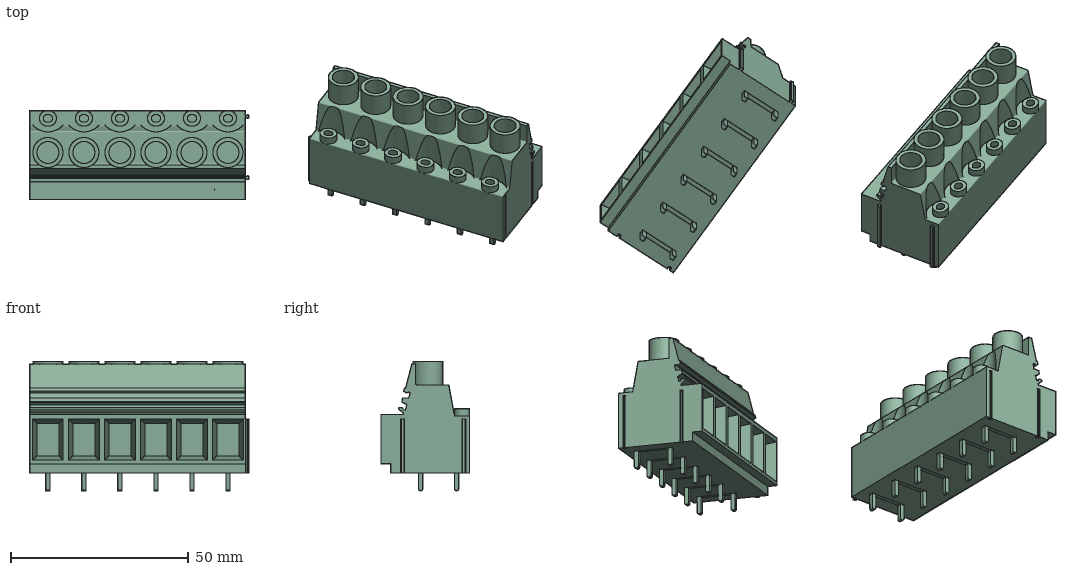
import cadquery as cq


pole_count = 6
pole_span = 50.75
pole_pitch = pole_span / (pole_count - 1)

housing_length = 60.85
housing_depth = 25.1
first_pole_x = 5.1
pole_centers_x = [first_pole_x + i * pole_pitch for i in range(pole_count)]

front_step_depth = 2.8
front_step_height = 2.6
front_block_top = 16.55
wall_top = 30.7
wall_front_y = 8.7
wall_rear_y = 9.8
shelf_z = 24.9
shelf_rear_y = 19.2
ledge_z = 16.1
ledge_front_y = 20.8
edge_radius = 0.4
ledge_corner_radius = 0.2

hook_root_y = 6.3
hook_floor_z = 17.85
hook_top_z = 18.5
middle_tooth_top_z = 21.2

entry_width = 8.65
entry_height = 11.6
entry_bottom = 3.65
entry_depth = 6.7
entry_inset = 1.25

tube_center_y = 13.3
tube_diameter = 8.45
tube_bore = 6.2
tube_top = 31.5

socket_length = 4.8
socket_width = 4.3
socket_wall = 1.1
socket_top = 18.15
socket_center_y = housing_depth - socket_width / 2

recess_radius = 5.7
recess_center_y = 24.75

rib_positions_y = [6.2, 23.4]
rib_height = 15.25
rib_reach = 0.9
rib_neck_half_width = 0.4
rib_head_half_width = 0.55
rib_neck_reach = 0.45
rib_head_start = 0.55
rib_head_end = 0.75

contact_thickness = 1.25
front_leg_y = 11.25
rear_leg_y = front_leg_y + pole_pitch
leg_length = 5.0


def housing_profile():
    """Cross-section of the housing in the YZ plane, with the ribbed marking-strip holder in front."""
    return (
        cq.Workplane("YZ")
        .moveTo(front_step_depth, 0)
        .lineTo(front_step_depth, front_step_height)
        .lineTo(0, front_step_height)
        .lineTo(0, front_block_top)
        .lineTo(hook_root_y, front_block_top)
        .lineTo(hook_root_y, 16.9)
        .lineTo(5.2, 17.9)
        .threePointArc((5.0, 18.3), (5.3, hook_top_z))
        .lineTo(5.9, hook_top_z)
        .lineTo(hook_root_y, 18.3)
        .lineTo(hook_root_y, hook_floor_z)
        .lineTo(6.9, hook_floor_z)
        .lineTo(7.3, 19.3)
        .lineTo(6.05, 19.95)
        .lineTo(5.9, 20.25)
        .lineTo(6.1, middle_tooth_top_z)
        .lineTo(7.85, middle_tooth_top_z)
        .lineTo(8.15, 22.35)
        .threePointArc((8.0, 22.8), (7.6, 22.7))
        .lineTo(7.2, 22.55)
        .lineTo(6.35, 23.1)
        .lineTo(6.7, 23.95)
        .lineTo(7.0, 24.0)
        .lineTo(wall_front_y, wall_top)
        .lineTo(wall_rear_y, wall_top)
        .lineTo(wall_rear_y, shelf_z)
        .lineTo(shelf_rear_y, shelf_z)
        .lineTo(ledge_front_y, ledge_z)
        .lineTo(housing_depth, ledge_z)
        .lineTo(housing_depth, 0)
        .close()
    )


def lengthwise_edge(y, z):
    """Selector for the edge that runs along the housing at the given Y and Z."""
    reach = edge_radius / 2
    return cq.selectors.BoxSelector(
        (0, y - reach, z - reach),
        (housing_length, y + reach, z + reach),
    )


def housing_shell():
    """Extruded housing with its shelf and ledge edges rounded."""
    shell = housing_profile().extrude(housing_length)
    rounded_edges = [
        (wall_rear_y, shelf_z, edge_radius),
        (shelf_rear_y, shelf_z, edge_radius),
        (ledge_front_y, ledge_z, ledge_corner_radius),
        (housing_depth, ledge_z, edge_radius),
    ]
    for y, z, radius in rounded_edges:
        shell = shell.edges(lengthwise_edge(y, z)).fillet(radius)
    return shell


def wire_entry(x):
    """Rectangular funnel that narrows evenly from the front face to its flat end."""
    entry_center_z = entry_bottom + entry_height / 2
    return (
        cq.Workplane("XZ", origin=(x, 0, entry_center_z))
        .rect(entry_width, entry_height)
        .workplane(offset=-entry_depth)
        .rect(entry_width - 2 * entry_inset, entry_height - 2 * entry_inset)
        .loft(ruled=True)
    )


def cylinder(x, y, radius, bottom, top):
    """Upright cylinder between two heights."""
    return cq.Workplane("XY", origin=(x, y, bottom)).circle(radius).extrude(top - bottom)


def oblong(x, length, width, bottom):
    """Upright oblong post at a test socket, ending at the socket top."""
    return (
        cq.Workplane("XY", origin=(x, socket_center_y, bottom))
        .slot2D(length, width)
        .extrude(socket_top - bottom)
    )


def add_screw_tube(housing, x):
    """Raise a screw tube from the shelf, with a bore down to the shelf."""
    tube = cylinder(x, tube_center_y, tube_diameter / 2, shelf_z, tube_top)
    bore = cylinder(x, tube_center_y, tube_bore / 2, shelf_z, tube_top)
    return housing.union(tube).cut(bore)


def add_test_socket(housing, x):
    """Hollow the rear slope and raise an oblong test socket from the ledge."""
    recess = cylinder(x, recess_center_y, recess_radius, ledge_z, tube_top)
    post = oblong(x, socket_length, socket_width, ledge_z - edge_radius)
    hole = oblong(x, socket_length - 2 * socket_wall, socket_width - 2 * socket_wall, ledge_z)
    return housing.cut(recess).union(post).cut(hole)


def interlock_rib(x, y):
    """Upright rib with a narrow neck and a wider bevelled head, pointing to +X."""
    half_outline = [
        (0, rib_neck_half_width),
        (rib_neck_reach, rib_neck_half_width),
        (rib_head_start, rib_head_half_width),
        (rib_head_end, rib_head_half_width),
        (rib_reach, rib_neck_half_width),
    ]
    mirrored_half = [(reach, -half_width) for reach, half_width in reversed(half_outline)]
    return (
        cq.Workplane("XY", origin=(x, y, 0))
        .polyline(half_outline + mirrored_half)
        .close()
        .extrude(rib_height)
    )


def solder_leg(x, y):
    """Square leg below the housing with a half-round tip."""
    half = contact_thickness / 2
    return (
        cq.Workplane("YZ", origin=(x - half, y, 0))
        .moveTo(-half, 0)
        .lineTo(-half, half - leg_length)
        .threePointArc((0, -leg_length), (half, half - leg_length))
        .lineTo(half, 0)
        .close()
        .extrude(contact_thickness)
    )


def contact_bar(x):
    """Bar that joins the two legs of a contact, flush with the underside of the housing."""
    bar_length = rear_leg_y - front_leg_y + contact_thickness
    bar_center_y = (front_leg_y + rear_leg_y) / 2
    return cq.Workplane("XY", origin=(x, bar_center_y, 0)).box(
        contact_thickness, bar_length, contact_thickness, centered=(True, True, False)
    )


def make_contact(x):
    """One contact: the bar with a leg under each end."""
    return contact_bar(x).union(solder_leg(x, front_leg_y)).union(solder_leg(x, rear_leg_y))


def make_housing():
    """Complete housing with all pole features, end ribs, end grooves and contact recesses."""
    housing = housing_shell()
    for x in pole_centers_x:
        housing = housing.cut(wire_entry(x))
        housing = add_test_socket(housing, x)
        housing = add_screw_tube(housing, x)
        housing = housing.cut(contact_bar(x))
    for y in rib_positions_y:
        housing = housing.cut(interlock_rib(0, y))
        housing = housing.union(interlock_rib(housing_length, y))
    return housing


housing = make_housing().solids()
contacts = [make_contact(x).solids().val() for x in pole_centers_x]

result = cq.Compound.makeCompound([housing.val(), *contacts])